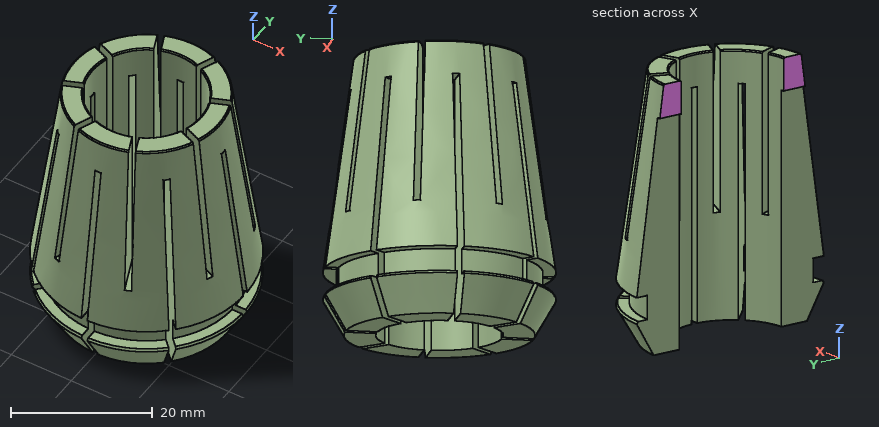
import cadquery as cq
import math

height = 40.0
max_radius = 16.5
bore_radius = 18.0 / 2
mouth_chamfer = 0.2
rim_chamfer = 0.2

nose_angle = 30.0
nose_height = 5.15
groove_radius = 14.6
groove_bottom = 5.5
groove_top = 9.1
nose_rim_radius = 16.25

taper_angle = 8.0

slot_width = 1.0
slot_reach = 18.0
slots_per_set = 8
slot_pitch = 360.0 / slots_per_set
lower_slot_top = 35.0
upper_slot_bottom = 16.0


def taper_radius(z):
    """Outer radius of the long taper at height z."""
    return max_radius - (z - groove_top) * math.tan(math.radians(taper_angle))


def make_body():
    """Half section in the XZ plane, revolved about Z."""
    nose_tip_radius = max_radius - nose_height * math.tan(math.radians(nose_angle))
    rim_bottom = height - rim_chamfer
    return (
        cq.Workplane("XZ")
        .moveTo(bore_radius, 0)
        .lineTo(nose_tip_radius, 0)
        .lineTo(max_radius, nose_height)
        .lineTo(nose_rim_radius, groove_bottom)
        .lineTo(groove_radius, groove_bottom)
        .lineTo(groove_radius, groove_top)
        .lineTo(max_radius, groove_top)
        .lineTo(taper_radius(rim_bottom), rim_bottom)
        .lineTo(taper_radius(rim_bottom) - rim_chamfer, height)
        .lineTo(bore_radius + mouth_chamfer, height)
        .lineTo(bore_radius, height - mouth_chamfer)
        .close()
        .revolve(360, (0, 0), (0, 1))
    )


def cut_slots(body, bottom, top, first_angle):
    """Cut a ring of radial slots from the bore out through the wall, between two heights."""
    slot = (
        cq.Workplane("XY", origin=(0, 0, bottom))
        .rect(slot_reach, slot_width, centered=(False, True))
        .extrude(top - bottom)
    )
    for i in range(slots_per_set):
        body = body.cut(slot.rotate((0, 0, 0), (0, 0, 1), first_angle + i * slot_pitch))
    return body


result = make_body()
result = cut_slots(result, 0, lower_slot_top, 0)
result = cut_slots(result, upper_slot_bottom, height, slot_pitch / 2)